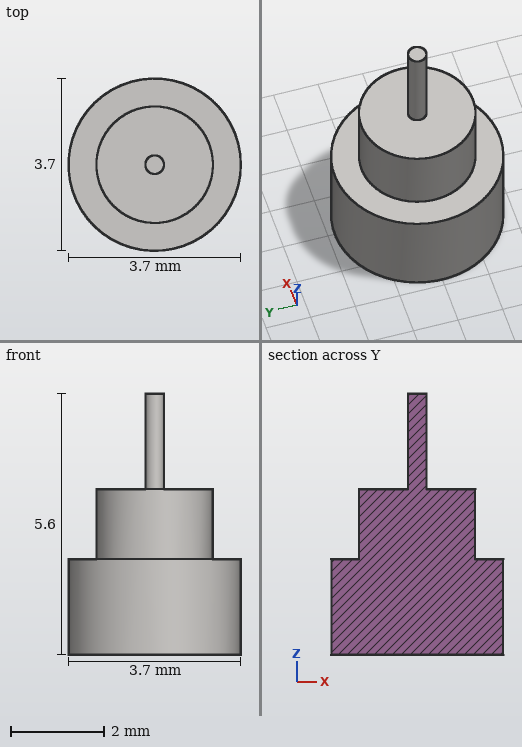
import cadquery as cq

base_diameter = 3.7
base_height = 2.05
collar_diameter = 2.5
collar_height = 1.5
insulator_diameter = 1.95
pin_diameter = 0.4
pin_length = 2.05

collar_top = base_height + collar_height


def cylinder(diameter, bottom, height):
    """Upright cylinder on the Z axis, starting at the given level."""
    return cq.Workplane("XY").workplane(offset=bottom).circle(diameter / 2).extrude(height)


def stepped_shell():
    """Base and collar, with a bore in the collar for the insulator."""
    base = cylinder(base_diameter, 0, base_height)
    collar = cylinder(collar_diameter, base_height, collar_height)
    bore = cylinder(insulator_diameter, base_height, collar_height)
    return base.union(collar).cut(bore)


def insulator():
    """Plug that fills the bore, flush with the collar top."""
    return cylinder(insulator_diameter, base_height, collar_height)


def pin():
    """Contact pin standing on the insulator."""
    return cylinder(pin_diameter, collar_top, pin_length)


result = stepped_shell().union(insulator(), clean=False).union(pin(), clean=False)